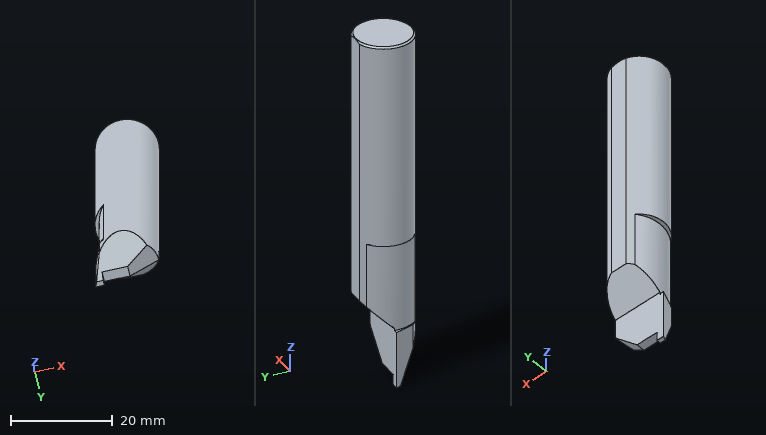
import cadquery as cq

length = 76.2
radius = 6.36
top_chamfer = 0.4
flat_depth = 0.3

relief_bottom = 12.4
relief_top = 31.85
relief_depth = 0.9
relief_radius = 8.3

rake_slope_bottom = 12.8
rake_slope_top = 18.9

tip_thickness = 1.1
clearance_top = 11.6

flank_back_y = -4.35

nib_width = 1.75
nib_height = 2.2
bevel_top = 8.0

margin = 3.8
outside = radius + margin


def make_shank():
    return cq.Workplane("XY").circle(radius).extrude(length).faces(">Z").chamfer(top_chamfer)


def flat_cutter():
    block_center_y = radius - flat_depth + margin / 2
    return cq.Workplane("XY").center(0, block_center_y).rect(2 * outside, margin).extrude(length)


def relief_cutter():
    """Everything on the -X side of a large cylinder whose centre is offset from the axis."""
    height = relief_top - relief_bottom
    center_x = relief_radius - radius + relief_depth
    base = cq.Workplane("XY").workplane(offset=relief_bottom)
    block = base.center(-outside / 2, 0).rect(outside, 2 * outside).extrude(height)
    core = base.center(center_x, 0).circle(relief_radius).extrude(height)
    return block.cut(core)


def rake_cutter():
    slope = (rake_slope_top - rake_slope_bottom) / radius
    outline = [
        (0, -margin),
        (0, rake_slope_bottom),
        (outside, rake_slope_bottom + slope * outside),
        (outside, -margin),
    ]
    return cq.Workplane("YZ").polyline(outline).close().extrude(outside, both=True)


def clearance_cutter():
    slope = clearance_top / (radius - tip_thickness)
    outline = [
        (-tip_thickness + margin / slope, -margin),
        (-outside, slope * (outside - tip_thickness)),
        (-outside, -margin),
    ]
    return cq.Workplane("YZ").polyline(outline).close().extrude(outside, both=True)


def flank_cutter():
    flank_back_x = -(radius**2 - flank_back_y**2) ** 0.5
    outline = [
        (-radius, 0),
        (flank_back_x, flank_back_y),
        (-outside, flank_back_y),
        (-outside, 0),
    ]
    return cq.Workplane("XY").polyline(outline).close().extrude(relief_bottom)


def end_cutter():
    bevel_start_x = radius - (bevel_top - nib_height)
    nib_back_x = -radius + nib_width
    outline = [
        (nib_back_x, -margin),
        (nib_back_x, nib_height),
        (bevel_start_x, nib_height),
        (outside, bevel_top + margin),
        (outside, -margin),
    ]
    return cq.Workplane("XZ").polyline(outline).close().extrude(outside, both=True)


result = make_shank()
for make_cutter in (
    flat_cutter,
    relief_cutter,
    rake_cutter,
    clearance_cutter,
    flank_cutter,
    end_cutter,
):
    result = result.cut(make_cutter())